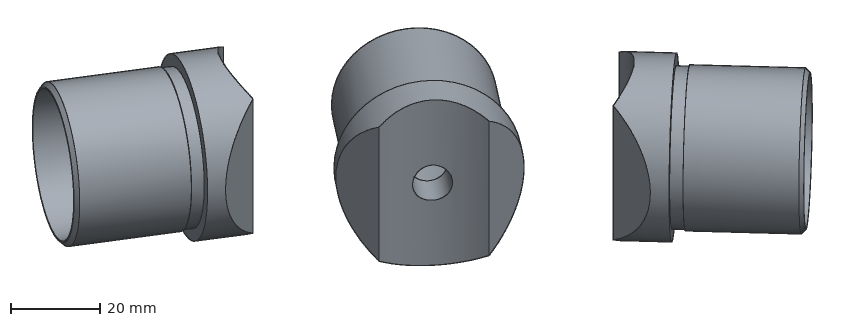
import cadquery as cq
import math

length = 43.0
flange_diameter = 42.4

spigot_diameter = 37.3
spigot_length = 27.0
spigot_chamfer = 1.05
groove_diameter = 36.7
groove_width = 3.0
flange_start = spigot_length + groove_width

bore_diameter = 34.5
bore_depth = flange_start
hole_diameter = 9.0

saddle_depth = 4.0
saddle_radius = flange_diameter / 2
saddle_axis_distance = length - saddle_depth + saddle_radius

mouth_half_width = math.sqrt(saddle_radius**2 - (saddle_axis_distance - length) ** 2)

open_face_y = -length / 2
saddle_face_y = length / 2


def rod(diameter, start, end):
    """Cylinder along Y between two distances from the open face."""
    return (
        cq.Workplane("XZ", origin=(0, open_face_y + start, 0))
        .circle(diameter / 2)
        .extrude(start - end)
    )


def side_flat_cutter(side):
    """Wedge that leaves a 45 degree flat on the +X (1) or -X (-1) side."""
    wedge_leg = flange_diameter
    mouth_x = side * mouth_half_width
    return (
        cq.Workplane("XY")
        .moveTo(mouth_x, saddle_face_y)
        .lineTo(mouth_x + side * wedge_leg, saddle_face_y)
        .lineTo(mouth_x + side * wedge_leg, saddle_face_y - wedge_leg)
        .close()
        .extrude(flange_diameter / 2, both=True)
    )


spigot = rod(spigot_diameter, 0, spigot_length).faces("<Y").chamfer(spigot_chamfer)
groove = rod(groove_diameter, spigot_length, flange_start)
flange = rod(flange_diameter, flange_start, length)
body = spigot.union(groove).union(flange)

saddle = (
    cq.Workplane("XY", origin=(0, open_face_y + saddle_axis_distance, 0))
    .circle(saddle_radius)
    .extrude(flange_diameter / 2, both=True)
)
body = body.cut(saddle)

for side in (-1, 1):
    body = body.cut(side_flat_cutter(side))

bore = rod(bore_diameter, 0, bore_depth)
through_hole = rod(hole_diameter, 0, length)
result = body.cut(bore).cut(through_hole)